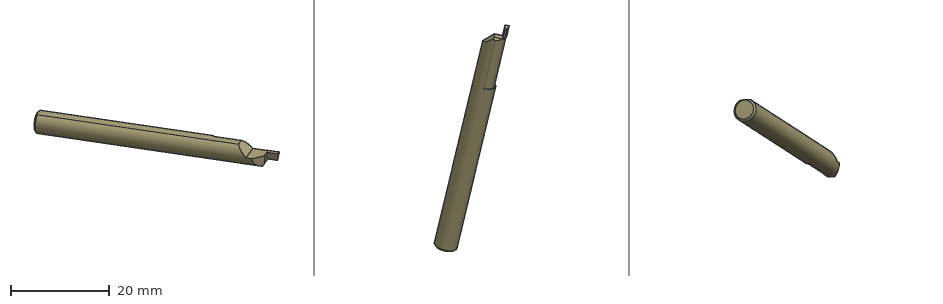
import cadquery as cq

total_length = 50.8
shank_radius = 2.4
flat_height = 2.15
end_chamfer = 0.4

neck_start = 37.1
neck_offset = 0.3

head_front = 48.4
ramp_start = 43.15
deck_height = 0.0
ramp_end = 45.15
bevel_length = 2.0
heel_length = 0.35
heel_height = 0.55

tip_start = 48.25
tip_inner_y = 1.25
tip_outer_y = 2.2
tip_depth = 1.6
tip_inner_lean = 0.1
tip_outer_lean = 0.45
tip_clearance = 0.2

margin = 0.5


def round_bar(start, end, y_center):
    return cq.Workplane("YZ", origin=(start, y_center, 0)).circle(shank_radius).extrude(end - start)


def through_prism(points):
    """Extrude an outline of (x, z) points across the full width of the bar."""
    reach = shank_radius + margin
    return cq.Workplane("XZ").polyline(points).close().extrude(reach, both=True)


def make_bar():
    shank = round_bar(0, head_front, 0).faces("<X").chamfer(end_chamfer)
    neck_limit = round_bar(0, head_front + margin, -neck_offset)
    rear_limit = cq.Workplane("XY").box(
        neck_start, 4 * shank_radius, 4 * shank_radius, centered=(False, True, True)
    )
    return shank.intersect(rear_limit.union(neck_limit))


def top_cut():
    top = shank_radius + margin
    front = head_front + margin
    flat = through_prism([(-margin, flat_height), (front, flat_height), (front, top), (-margin, top)])
    ramp = through_prism([
        (ramp_start, top),
        (ramp_start, flat_height),
        (ramp_end, deck_height),
        (front, deck_height),
        (front, top),
    ])
    return flat.union(ramp)


def corner_bevel():
    side = -shank_radius
    points = [
        (head_front - bevel_length - margin, side - margin),
        (head_front + margin, side - margin),
        (head_front + margin, side + bevel_length + margin),
    ]
    base = cq.Workplane("XY", origin=(0, 0, -shank_radius - margin))
    return base.polyline(points).close().extrude(2 * (shank_radius + margin))


def heel_relief():
    return through_prism([
        (head_front - heel_length, -shank_radius),
        (head_front, -shank_radius),
        (head_front, heel_height - shank_radius),
    ])


def cutting_tip():
    bottom = deck_height - tip_depth
    section = [
        (tip_inner_y, deck_height),
        (tip_outer_y, deck_height),
        (tip_outer_y - tip_outer_lean, bottom),
        (tip_inner_y + tip_inner_lean, bottom),
    ]
    blade = cq.Workplane("YZ", origin=(tip_start, 0, 0)).polyline(section).close()
    blade = blade.extrude(total_length - tip_start)
    clearance = through_prism([
        (total_length, deck_height),
        (total_length, bottom),
        (total_length - tip_clearance, bottom),
    ])
    return blade.cut(clearance)


body = make_bar().cut(top_cut()).cut(corner_bevel()).cut(heel_relief())
result = body.union(cutting_tip())